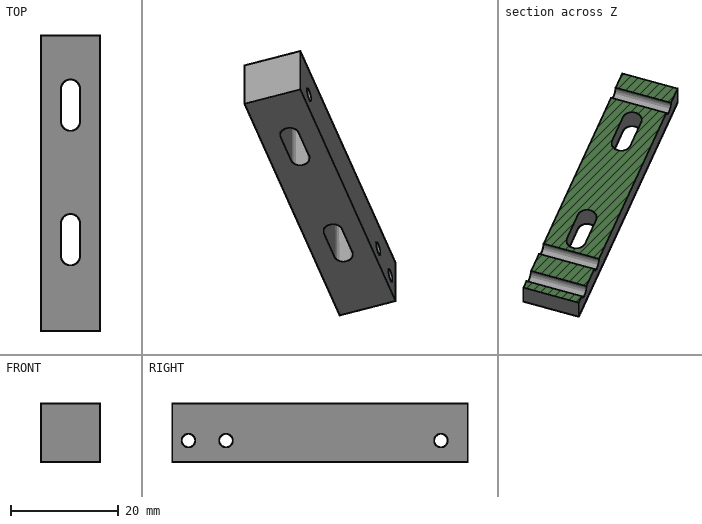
import cadquery as cq

width = 11.0
length = 55.0
height = 10.95

slot_width = 3.5
slot_length = 9.5
first_slot_from_back = 13.0
slot_spacing = 25.0

hole_diameter = 2.5
hole_height = 4.0
hole_distances_from_back = (5.0, 45.0, 52.0)

back_y = length / 2


def make_bar():
    """Bar centred in X and Y, resting on Z = 0."""
    return cq.Workplane("XY").box(width, length, height, centered=(True, True, False))


def make_slots():
    """Cutters for the two slots through the full height."""
    first_y = back_y - first_slot_from_back
    centres = [(0, first_y), (0, first_y - slot_spacing)]
    return (
        cq.Workplane("XY")
        .pushPoints(centres)
        .slot2D(slot_length, slot_width, angle=90)
        .extrude(height)
    )


def make_cross_holes():
    """Cutters for the round holes through the full width."""
    centres = [(back_y - distance, hole_height) for distance in hole_distances_from_back]
    return (
        cq.Workplane("YZ")
        .pushPoints(centres)
        .circle(hole_diameter / 2)
        .extrude(width / 2, both=True)
    )


result = make_bar().cut(make_slots()).cut(make_cross_holes())